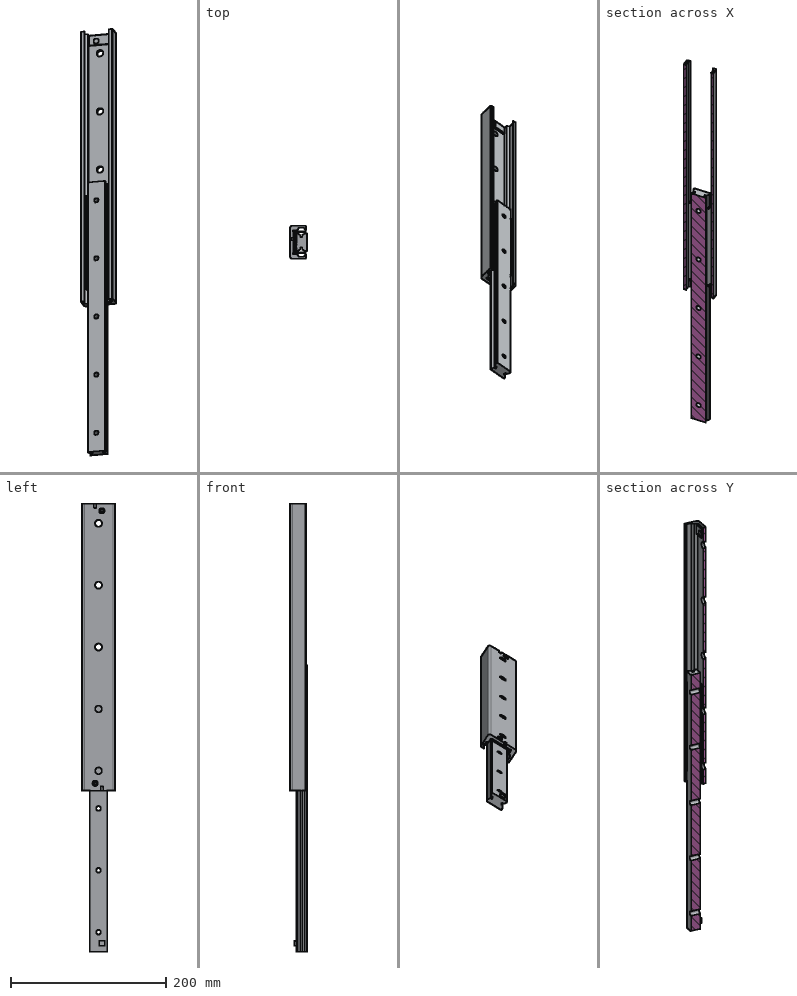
import cadquery as cq

SLIDE_DEPTH = 22.0
TOTAL_LENGTH = 578.0
RAIL_LENGTH = 370.0
OUTER_BOTTOM = TOTAL_LENGTH - RAIL_LENGTH

OUTER_HALF_WIDTH = 21.5
OUTER_DEPTH = 21.0
BEND_RADIUS = 3.0
WEB_THICKNESS = 4.0
ROOT_HALF_WIDTH = 15.0
LIP_HALF_WIDTH = 16.0
OUTER_RACE_HALF_WIDTH = 18.5
ROOT_DEPTH = 9.0
OUTER_RACE_START = 11.5
OUTER_RACE_END = 18.0
LIP_START = 19.5
TIP_CHAMFER = 1.0

INNER_BACK = 8.0
INNER_HALF_WIDTH = 11.5
INNER_FRONT_CHAMFER = 0.5
RACE_CENTER = 14.5
RACE_MOUTH = 9.0
RACE_FLANK_DEPTH = 2.5
RELIEF_WIDTH = 2.5
RELIEF_DEPTH = 4.5

HOLE_PITCH = 80.0
HOLE_COUNT = 5
END_TO_HOLE = (RAIL_LENGTH - (HOLE_COUNT - 1) * HOLE_PITCH) / 2
OUTER_HOLE_DIAMETER = 8.5
INNER_HOLE_DIAMETER = 6.0

CAGE_BACK = 6.0
CAGE_FRONT = 20.0
CAGE_HALF_WIDTH = 14.5
CAGE_THICKNESS = 2.0
CAGE_LENGTH = 127.0

FASTENER_OFFSET = 4.35
PLATE_THICKNESS = 2.5
PLATE_HALF_WIDTH = 14.0
PLATE_LENGTH = 13.5
PLATE_SETBACK = 1.0
TAB_WIDTH = 3.5
TAB_LENGTH = 6.0
TAB_RECESS = 2.0
RIVET_DIAMETER = 7.0
RIVET_BORE = 3.5
RIVET_BORE_DEPTH = 2.0
RIVET_LENGTH = WEB_THICKNESS + PLATE_THICKNESS
END_TO_RIVET = 9.0
STOP_WIDTH = 7.0
STOP_HEIGHT = 6.5
STOP_TIP = 5.0
STOP_SEAT = 3.0
STOP_Z = 11.0

RAIL_ENDS = [(TOTAL_LENGTH, -1), (OUTER_BOTTOM, 1)]


def mirrored_section(half_outline, bottom, length):
    """Extrude a section whose +Y half is given from its back to its front or inner face."""
    points = half_outline + [(x, -y) for x, y in reversed(half_outline)]
    return cq.Workplane("XY").workplane(offset=bottom).polyline(points).close().extrude(length)


def box(x_min, x_max, y_center, y_width, z_center, z_height):
    size_x = x_max - x_min
    return cq.Workplane("XY").box(size_x, y_width, z_height).translate(
        (x_min + size_x / 2, y_center, z_center)
    )


def rod(diameter, x_min, x_max, y, z):
    """Cylinder along X."""
    return cq.Workplane("YZ", origin=(x_min, y, z)).circle(diameter / 2).extrude(x_max - x_min)


def drill_mounting_holes(rail, diameter, first_z):
    for index in range(HOLE_COUNT):
        hole_z = first_z + index * HOLE_PITCH
        rail = rail.cut(rod(diameter, 0, SLIDE_DEPTH, 0, hole_z))
    return rail


def tab_shape(end_z, inward, x_min):
    """Tongue open to the rail end, with a round inner end."""
    tab_y = -inward * FASTENER_OFFSET
    straight_length = TAB_LENGTH - TAB_WIDTH / 2
    straight_z = end_z + inward * straight_length / 2
    straight = box(x_min, WEB_THICKNESS, tab_y, TAB_WIDTH, straight_z, straight_length)
    round_end = rod(TAB_WIDTH, x_min, WEB_THICKNESS, tab_y, end_z + inward * straight_length)
    return straight.union(round_end)


def rivet_rod(end_z, inward, diameter, length):
    rivet_z = end_z + inward * END_TO_RIVET
    return rod(diameter, 0, length, inward * FASTENER_OFFSET, rivet_z)


def make_outer_rail():
    half_outline = [
        (0, OUTER_HALF_WIDTH),
        (OUTER_DEPTH - TIP_CHAMFER, OUTER_HALF_WIDTH),
        (OUTER_DEPTH, OUTER_HALF_WIDTH - TIP_CHAMFER),
        (OUTER_DEPTH, LIP_HALF_WIDTH),
        (LIP_START, LIP_HALF_WIDTH),
        (OUTER_RACE_END, OUTER_RACE_HALF_WIDTH),
        (OUTER_RACE_START, OUTER_RACE_HALF_WIDTH),
        (ROOT_DEPTH, ROOT_HALF_WIDTH),
        (WEB_THICKNESS, ROOT_HALF_WIDTH),
    ]
    rail = mirrored_section(half_outline, OUTER_BOTTOM, RAIL_LENGTH)
    rail = rail.edges("|Z and <X").fillet(BEND_RADIUS)
    rail = drill_mounting_holes(rail, OUTER_HOLE_DIAMETER, OUTER_BOTTOM + END_TO_HOLE)
    for end_z, inward in RAIL_ENDS:
        rail = rail.cut(tab_shape(end_z, inward, 0))
        rail = rail.cut(rivet_rod(end_z, inward, RIVET_DIAMETER, RIVET_LENGTH))
    return rail


def make_inner_rail():
    half_outline = [
        (INNER_BACK, INNER_HALF_WIDTH),
        (RACE_CENTER - RACE_MOUTH / 2, INNER_HALF_WIDTH),
        (RACE_CENTER - RELIEF_WIDTH / 2, INNER_HALF_WIDTH - RACE_FLANK_DEPTH),
        (RACE_CENTER - RELIEF_WIDTH / 2, INNER_HALF_WIDTH - RELIEF_DEPTH),
        (RACE_CENTER + RELIEF_WIDTH / 2, INNER_HALF_WIDTH - RELIEF_DEPTH),
        (RACE_CENTER + RELIEF_WIDTH / 2, INNER_HALF_WIDTH - RACE_FLANK_DEPTH),
        (RACE_CENTER + RACE_MOUTH / 2, INNER_HALF_WIDTH),
        (SLIDE_DEPTH - INNER_FRONT_CHAMFER, INNER_HALF_WIDTH),
        (SLIDE_DEPTH, INNER_HALF_WIDTH - INNER_FRONT_CHAMFER),
    ]
    rail = mirrored_section(half_outline, 0, RAIL_LENGTH)
    rail = drill_mounting_holes(rail, INNER_HOLE_DIAMETER, END_TO_HOLE)
    return rail.cut(make_stop_block())


def make_cage():
    inside = CAGE_HALF_WIDTH - CAGE_THICKNESS
    half_outline = [
        (CAGE_BACK, CAGE_HALF_WIDTH),
        (CAGE_FRONT, CAGE_HALF_WIDTH),
        (CAGE_FRONT, inside),
        (CAGE_BACK + CAGE_THICKNESS, inside),
    ]
    cage_bottom = (TOTAL_LENGTH - CAGE_LENGTH) / 2
    return mirrored_section(half_outline, cage_bottom, CAGE_LENGTH)


def make_stop_block():
    stop_seat = INNER_BACK + STOP_SEAT
    return box(STOP_TIP, stop_seat, -FASTENER_OFFSET, STOP_WIDTH, STOP_Z, STOP_HEIGHT)


def make_stop_plate(end_z, inward):
    plate_z = end_z + inward * (PLATE_SETBACK + PLATE_LENGTH / 2)
    plate = box(WEB_THICKNESS, RIVET_LENGTH, 0, 2 * PLATE_HALF_WIDTH, plate_z, PLATE_LENGTH)
    plate = plate.union(tab_shape(end_z, inward, TAB_RECESS))
    return plate.cut(rivet_rod(end_z, inward, RIVET_DIAMETER, RIVET_LENGTH))


def make_rivet(end_z, inward):
    rivet = rivet_rod(end_z, inward, RIVET_DIAMETER, RIVET_LENGTH)
    return rivet.cut(rivet_rod(end_z, inward, RIVET_BORE, RIVET_BORE_DEPTH))


outer_rail = make_outer_rail()
inner_rail = make_inner_rail()
cage = make_cage()
stop_block = make_stop_block()
stop_plates = [make_stop_plate(end_z, inward) for end_z, inward in RAIL_ENDS]
rivets = [make_rivet(end_z, inward) for end_z, inward in RAIL_ENDS]

result = cq.Compound.makeCompound(
    [
        outer_rail.val(),
        inner_rail.val(),
        cage.val(),
        stop_block.val(),
        *[plate.val() for plate in stop_plates],
        *[rivet.val() for rivet in rivets],
    ]
)